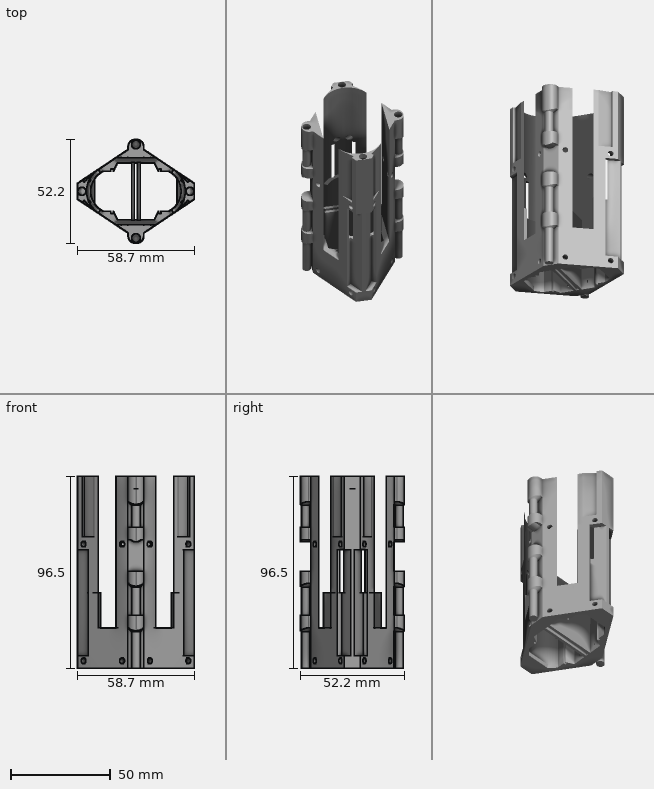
import cadquery as cq
import math

HEIGHT = 96.52
HALF_X = 29.35
HALF_Y = 20.95
FLAT_HALF = 4.0
FACE_RUN = HALF_X - FLAT_HALF
FACE_RISE = HALF_Y - FLAT_HALF
FACE_LENGTH = math.hypot(FACE_RUN, FACE_RISE)
NORMAL_X = FACE_RISE / FACE_LENGTH
NORMAL_Y = FACE_RUN / FACE_LENGTH

BORE_X = 11.6
BORE_RADIUS = 11.1
THIN_WALL = 0.02
FACE_DISTANCE = (HALF_X - BORE_X) * NORMAL_X + FLAT_HALF * NORMAL_Y
UPPER_BORE_RADIUS = FACE_DISTANCE - THIN_WALL
UPPER_BORE_Z = 38.1
BASE_TOP = 20.32
STRUT_INNER_Y = 16.9
JAW_Y = 9.95
MIDDLE_Y = 14.2
MIDDLE_HALF_X = 9.25
NOTCH_INNER_X = 11.5
NOTCH_OUTER_X = 12.55
NOTCH_Y = 11.1
SPIKE_X = 11.3
LIP_X = 20.6
LIP_HEIGHT = 2.54

PLATE_INNER_X = 0.72
PLATE_THICKNESS = 1.47
PLATE_HALF_Y = 14.55
PLATE_TOP = UPPER_BORE_Z

KNUCKLE_TIP_Y = 26.095
KNUCKLE_ROUND = 3.8
PIN_Y = 23.48
PIN_DIAMETER = 4.32
CONE_TIP_RADIUS = PIN_DIAMETER / 2
CONE_RADIUS = FLAT_HALF
PIN_KNUCKLES = [
    (83.8, HEIGHT),
    (42.7, 48.8),
    (BASE_TOP, 26.8),
]
PLAIN_KNUCKLE = (64.6, 71.0)
KEEL_HALF = 2.6
KEEL_DROP = 1.05
PINS = [
    (PLAIN_KNUCKLE[1], PIN_KNUCKLES[0][0]),
    (PIN_KNUCKLES[2][1], PIN_KNUCKLES[1][0]),
    (0, PIN_KNUCKLES[2][0]),
]

SOCKET_DEPTH = 6.35
END_SOCKET_X = 27.15
END_SOCKET_DIAMETER = 4.06

SCREW_DIAMETER = 2.85
SCREW_DEPTH = 5.0
SCREW_LEAD = 1.0
SCREW_XS = [7.0, 26.3]
SCREW_ZS = [3.81, 62.4]

POCKET_DEPTH = 2.6
POCKET_END_X = 24.05
POCKET_BOTTOM = 6.35
POCKET_TOP = 59.7

WEDGE_BOTTOM = 66.04
WEDGE_OUTER_X = 27.0
WEDGE_INNER_X = 21.1


def face_y(x):
    """Y of the +X +Y sloping face at x."""
    return FLAT_HALF + (HALF_X - x) * FACE_RISE / FACE_RUN


def four_ways(solid):
    """The solid together with its mirror images in X and Y."""
    pair = solid.union(solid.mirror("YZ"))
    return pair.union(pair.mirror("XZ"))


def prism(points, bottom, top):
    return cq.Workplane("XY").workplane(offset=bottom).polyline(points).close().extrude(top - bottom)


def box(half_x, half_y, bottom, top):
    return cq.Workplane("XY").workplane(offset=bottom).rect(2 * half_x, 2 * half_y).extrude(top - bottom)


def half_outlines(quadrant):
    """Upper and lower halves of a four-way symmetric outline, counter-clockwise.

    The quadrant holds the points with positive X and Y, +X end first.
    """
    upper = quadrant + [(-x, y) for x, y in reversed(quadrant)]
    lower = [(-x, -y) for x, y in upper]
    return upper, lower


def make_body():
    upper, lower = half_outlines([(HALF_X, FLAT_HALF), (FLAT_HALF, HALF_Y)])
    return prism(upper + lower, 0, HEIGHT)


def rounded_end_prism(right, end_x, bottom, top):
    """Prism with arc ends through (end_x, 0) and (-end_x, 0) and straight sides.

    The sides follow the points right, given from the +X arc inwards in the +X +Y quadrant.
    """
    upper, lower = half_outlines(right)
    return (
        cq.Workplane("XY")
        .workplane(offset=bottom)
        .polyline(upper)
        .threePointArc((-end_x, 0), lower[0])
        .polyline(lower, includeCurrent=False)
        .threePointArc((end_x, 0), upper[0])
        .close()
        .extrude(top - bottom)
    )


def base_cavity():
    """Bores and faceted middle of the closed base, less the stop lips."""
    jaw_x = BORE_X + math.sqrt(BORE_RADIUS**2 - JAW_Y**2)
    right = [
        (jaw_x, JAW_Y),
        (NOTCH_OUTER_X, JAW_Y),
        (NOTCH_OUTER_X, NOTCH_Y),
        (NOTCH_INNER_X, NOTCH_Y),
        (NOTCH_INNER_X, JAW_Y),
        (SPIKE_X, JAW_Y),
        (MIDDLE_HALF_X, MIDDLE_Y),
    ]
    cavity = rounded_end_prism(right, BORE_X + BORE_RADIUS, 0, BASE_TOP)
    lip = box(HALF_X, HALF_Y, 0, LIP_HEIGHT).cut(box(LIP_X, HALF_Y, 0, LIP_HEIGHT))
    return cavity.cut(lip)


def frame_opening(radius, bottom, top):
    """Opening of the frame above the base: bores with radial wall ends, and the slots."""
    radial_x = BORE_X + STRUT_INNER_Y * NORMAL_X / NORMAL_Y
    right = [
        (BORE_X + radius * NORMAL_X, radius * NORMAL_Y),
        (radial_x, STRUT_INNER_Y),
    ]
    return rounded_end_prism(right, BORE_X + radius, bottom, top)


def dividing_plates():
    plate = (
        cq.Workplane("XY")
        .center(PLATE_INNER_X + PLATE_THICKNESS / 2, 0)
        .rect(PLATE_THICKNESS, 2 * PLATE_HALF_Y)
        .extrude(PLATE_TOP)
    )
    return plate.union(plate.mirror("YZ"))


def knuckle_block(bottom, top):
    """Full knuckle section, reaching back into the strut."""
    depth = KNUCKLE_TIP_Y - STRUT_INNER_Y
    return (
        cq.Workplane("XY")
        .workplane(offset=bottom)
        .center(0, STRUT_INNER_Y + depth / 2)
        .rect(2 * FLAT_HALF, depth)
        .extrude(top - bottom)
        .edges("|Z and >Y")
        .fillet(KNUCKLE_ROUND)
    )


def pin_knuckle(bottom, top):
    """Knuckle with a 45 degree cone around the pin axis under it."""
    tip_z = bottom - (CONE_RADIUS - CONE_TIP_RADIUS)
    profile = [(0, tip_z), (CONE_TIP_RADIUS, tip_z), (CONE_RADIUS, bottom), (0, bottom)]
    cone = (
        cq.Workplane("XZ")
        .polyline(profile)
        .close()
        .revolve(360, (0, 0), (0, 1))
        .translate((0, PIN_Y, 0))
    )
    foot = knuckle_block(tip_z, bottom).intersect(cone)
    return knuckle_block(bottom, top).union(foot)


def plain_knuckle(bottom, top):
    """Knuckle with a rounded keel along Y under it."""
    keel = (
        cq.Workplane("XZ")
        .moveTo(-KEEL_HALF, bottom)
        .threePointArc((0, bottom - KEEL_DROP), (KEEL_HALF, bottom))
        .close()
        .extrude(-KNUCKLE_TIP_Y)
    )
    foot = knuckle_block(bottom - KEEL_DROP, bottom).intersect(keel)
    return knuckle_block(bottom, top).union(foot)


def pin(bottom, top):
    return (
        cq.Workplane("XY")
        .workplane(offset=bottom)
        .center(0, PIN_Y)
        .circle(PIN_DIAMETER / 2)
        .extrude(top - bottom)
    )


def hinge():
    """Knuckles and pins of the +Y side."""
    parts = plain_knuckle(*PLAIN_KNUCKLE)
    for bottom, top in PIN_KNUCKLES:
        parts = parts.union(pin_knuckle(bottom, top))
    for bottom, top in PINS:
        parts = parts.union(pin(bottom, top))
    inside_strut = box(HALF_X, HALF_Y, 0, HEIGHT)
    return parts.cut(inside_strut)


def top_sockets():
    bottom = HEIGHT - SOCKET_DEPTH
    plane = cq.Workplane("XY").workplane(offset=bottom)
    ends = plane.pushPoints([(END_SOCKET_X, 0), (-END_SOCKET_X, 0)])
    hinges = plane.pushPoints([(0, PIN_Y), (0, -PIN_Y)])
    end_holes = ends.circle(END_SOCKET_DIAMETER / 2).extrude(SOCKET_DEPTH)
    return end_holes.union(hinges.circle(PIN_DIAMETER / 2).extrude(SOCKET_DEPTH))


def screw_holes():
    inward = cq.Vector(-NORMAL_X, -NORMAL_Y, 0)
    length = SCREW_DEPTH + SCREW_LEAD
    holes = cq.Workplane("XY")
    for x in SCREW_XS:
        for z in SCREW_ZS:
            start = cq.Vector(x, face_y(x), z) - inward * SCREW_LEAD
            hole = cq.Solid.makeCylinder(SCREW_DIAMETER / 2, length, start, inward)
            holes = holes.add(hole)
    return four_ways(holes.combine())


def lower_pockets():
    """Recess in each sloping face, running out through the end flat."""
    end_y = face_y(POCKET_END_X)
    depth_x = POCKET_DEPTH * NORMAL_X
    depth_y = POCKET_DEPTH * NORMAL_Y
    flat_y = FLAT_HALF - POCKET_DEPTH / NORMAL_Y
    points = [
        (POCKET_END_X, end_y),
        (HALF_X, FLAT_HALF),
        (HALF_X, flat_y),
        (POCKET_END_X - depth_x, end_y - depth_y),
    ]
    return four_ways(prism(points, POCKET_BOTTOM, POCKET_TOP))


def wedge_pockets():
    outer_y = face_y(WEDGE_OUTER_X)
    inner_y = face_y(WEDGE_INNER_X)
    wall = ((WEDGE_OUTER_X - WEDGE_INNER_X) - (inner_y - outer_y)) / 2
    corner = (WEDGE_OUTER_X - wall, outer_y - wall)
    points = [(WEDGE_OUTER_X, outer_y), corner, (WEDGE_INNER_X, inner_y)]
    return four_ways(prism(points, WEDGE_BOTTOM, HEIGHT))


body = make_body().cut(base_cavity())
body = body.cut(frame_opening(BORE_RADIUS, BASE_TOP, UPPER_BORE_Z))
body = body.cut(frame_opening(UPPER_BORE_RADIUS, UPPER_BORE_Z, HEIGHT))
body = body.union(dividing_plates())
plus_y_hinge = hinge()
body = body.union(plus_y_hinge).union(plus_y_hinge.mirror("XZ"))
body = body.cut(top_sockets()).cut(screw_holes())
result = body.cut(lower_pockets()).cut(wedge_pockets())